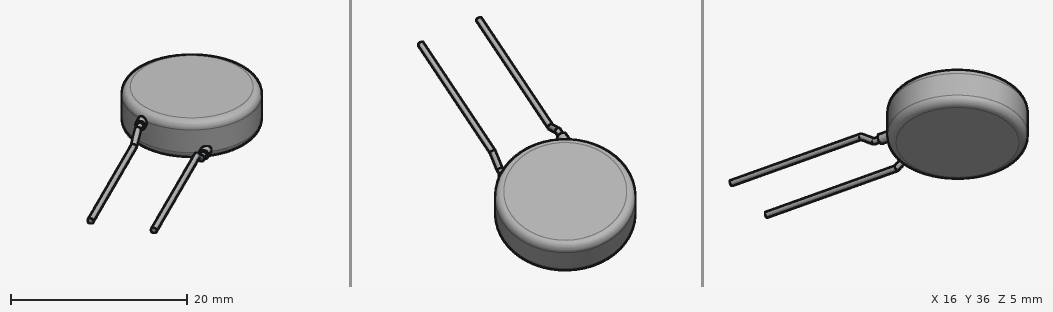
import cadquery as cq

DISC_DIAMETER = 16.0
DISC_HEIGHT = 5.0
EDGE_ROUND = 1.0

LEAD_SPACING = 7.5
LEAD_DIAMETER = 0.72
LEAD_ROOT_HEIGHT = 1.3
COLLAR_DIAMETER = 1.2
OVERALL_LENGTH = 36.0
ROOT_LENGTH = 0.85
CRANK_LENGTH = 1.73

ROOT_Y = -DISC_DIAMETER / 2
FIRST_BEND_Y = ROOT_Y - ROOT_LENGTH
SECOND_BEND_Y = FIRST_BEND_Y - CRANK_LENGTH
TIP_Y = DISC_DIAMETER / 2 - OVERALL_LENGTH

LEAD_ROOTS = [
    (-LEAD_SPACING / 2, LEAD_ROOT_HEIGHT),
    (LEAD_SPACING / 2, -LEAD_ROOT_HEIGHT),
]


def rod_section(x, z, diameter):
    """Circle at the lead root, facing out of the housing along -Y."""
    root_plane = cq.Plane(origin=(x, ROOT_Y, z), xDir=(1, 0, 0), normal=(0, -1, 0))
    return cq.Workplane(root_plane).circle(diameter / 2)


def make_collar(x, z):
    """Short round collar from the lead root back to mid-disc, where it is buried in the disc."""
    return rod_section(x, z, COLLAR_DIAMETER).extrude(ROOT_Y)


def make_housing():
    """Disc with rounded rims, merged with a collar for each lead."""
    housing = (
        cq.Workplane("XY")
        .cylinder(DISC_HEIGHT, DISC_DIAMETER / 2)
        .edges("%CIRCLE")
        .fillet(EDGE_ROUND)
    )
    for x, z in LEAD_ROOTS:
        housing = housing.union(make_collar(x, z))
    return housing


def make_lead(x, z):
    """Round wire cranked from its root height to the mid-height of the disc, with mitred bends."""
    path = cq.Workplane("YZ", origin=(x, 0, 0)).polyline(
        [(ROOT_Y, z), (FIRST_BEND_Y, z), (SECOND_BEND_Y, 0), (TIP_Y, 0)]
    )
    return rod_section(x, z, LEAD_DIAMETER).sweep(path, transition="right")


housing = make_housing()
leads = [make_lead(x, z) for x, z in LEAD_ROOTS]

result = cq.Compound.makeCompound([housing.solids().val(), *[lead.val() for lead in leads]])